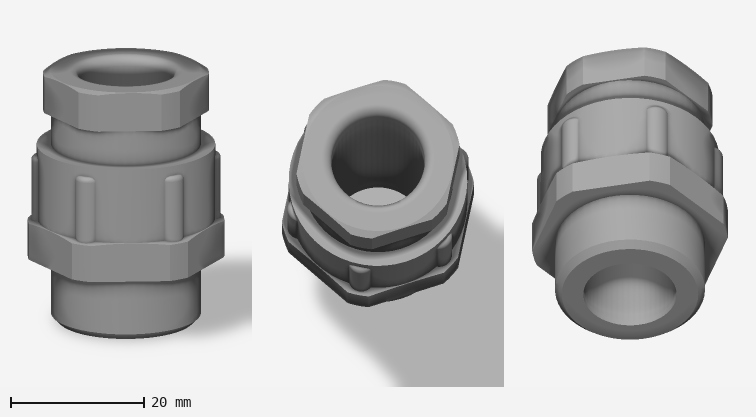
import cadquery as cq

TOTAL_HEIGHT = 39.0
LOWER_HEX_BOTTOM = 10.0
LOWER_HEX_TOP = 16.0
RIB_TOP = 26.0
BODY_TOP = 27.5
UPPER_HEX_BOTTOM = 32.95

SHANK_DIAMETER = 22.5
BODY_DIAMETER = 26.8
BORE_DIAMETER = 14.0
BORE_MOUTH_RADIUS = 1.45
END_CHAMFER = 1.0

LOWER_HEX_FLATS = 27.0
LOWER_HEX_CORNERS = 29.5
UPPER_HEX_FLATS = 23.0
UPPER_HEX_CORNERS = 24.9
UPPER_HEX_FACE_DIAMETER = 22.7
HEX_BEVEL_HEIGHT = 0.35

RIB_COUNT = 6
RIB_RADIUS = 2.0
RIB_REACH = 14.2
RIB_TOP_ROUND = 0.78


def cylinder(diameter, bottom, top):
    return cq.Workplane("XY").workplane(offset=bottom).circle(diameter / 2).extrude(top - bottom)


def hexagon(flats, corners, face_diameter, bottom, top):
    """Hexagonal prism with corners turned round and a conical bevel on top."""
    prism = (
        cq.Workplane("XY")
        .workplane(offset=bottom)
        .polygon(6, flats, circumscribed=True)
        .extrude(top - bottom)
    )
    turned_blank = (
        cq.Workplane("XZ")
        .moveTo(0, bottom)
        .lineTo(corners / 2, bottom)
        .lineTo(corners / 2, top - HEX_BEVEL_HEIGHT)
        .lineTo(face_diameter / 2, top)
        .lineTo(0, top)
        .close()
        .revolve(360, (0, 0, 0), (0, 1, 0))
    )
    return prism.intersect(turned_blank)


def grip_ribs():
    """Round-topped ribs that start inside the lower hexagon and sink into the body."""
    return (
        cq.Workplane("XY")
        .workplane(offset=LOWER_HEX_BOTTOM)
        .polarArray(RIB_REACH - RIB_RADIUS, 90, 360, RIB_COUNT)
        .circle(RIB_RADIUS)
        .extrude(RIB_TOP - LOWER_HEX_BOTTOM)
        .faces(">Z")
        .edges()
        .fillet(RIB_TOP_ROUND)
    )


shank = cylinder(SHANK_DIAMETER, 0, TOTAL_HEIGHT - HEX_BEVEL_HEIGHT).faces("<Z").chamfer(END_CHAMFER)
body = cylinder(BODY_DIAMETER, LOWER_HEX_BOTTOM, BODY_TOP)
lower_hex = hexagon(
    LOWER_HEX_FLATS, LOWER_HEX_CORNERS, BODY_DIAMETER, LOWER_HEX_BOTTOM, LOWER_HEX_TOP
)
upper_hex = hexagon(
    UPPER_HEX_FLATS, UPPER_HEX_CORNERS, UPPER_HEX_FACE_DIAMETER, UPPER_HEX_BOTTOM, TOTAL_HEIGHT
)

outside = shank.union(body).union(lower_hex).union(upper_hex).union(grip_ribs())

bored = outside.cut(cylinder(BORE_DIAMETER, 0, TOTAL_HEIGHT))
mouth_edge = cq.selectors.RadiusNthSelector(0)
result = bored.faces(">Z").edges(mouth_edge).fillet(BORE_MOUTH_RADIUS)